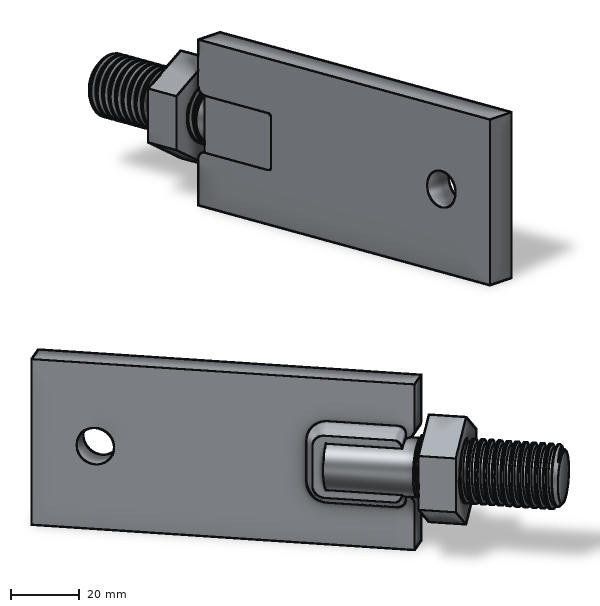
import cadquery as cq

PLATE_START = 44.5
PLATE_END = 158.8
PLATE_HEIGHT = 50.8
PLATE_THICKNESS = 9.5
HOLE_DIAMETER = 11.1
HOLE_X = 139.7
SLOT_END = 73.0
SLOT_CORNER_RADIUS = 1.3
SLOT_MOUTH_RADIUS = 2.5

SHANK_RADIUS = 8.7
SLOT_WIDTH = 2 * SHANK_RADIUS
STUD_END = 69.8
THREAD_END = 43.0
THREAD_PITCH = 2.5
THREAD_RADIUS = 9.5
ROOT_RADIUS = 8.3
RIDGE_BASE_WIDTH = 1.9
RIDGE_CREST_WIDTH = 0.6
RIDGE_OVERLAP = 0.3
TIP_RADIUS = 7.8
TIP_CLEARANCE = 1.6
THREAD_TURNS = 18
RIDGE_START = -2.2
THREAD_OVERRUN = 6.4

NUT_START = 29.0
NUT_WIDTH = 11.1
NUT_ACROSS_FLATS = 28.5

WELD_START = PLATE_START + SLOT_MOUTH_RADIUS
BEAD_OVERHANG = 3.7
BEAD_HEIGHT = 5.1
BEAD_BEND_RADIUS = 6.4
BEAD_BULGE_WIDTH = 5.9
BEAD_BULGE_HEIGHT = 2.0
BEAD_SHOULDER_WIDTH = 4.8
BEAD_SHOULDER_HEIGHT = 3.7
BEAD_TOP_WIDTH = 3.5
BEAD_TIP_RADIUS = 2.4


def x_cylinder(radius, start, end):
    """Cylinder on the X axis between two X positions."""
    return cq.Workplane("YZ", origin=(start, 0, 0)).circle(radius).extrude(end - start)


def slot_block(start):
    """Block that fills the slot through the plate, from `start` to the rounded slot end."""
    length = SLOT_END - start
    block = cq.Workplane("XY").box(length, PLATE_THICKNESS, SLOT_WIDTH, centered=(False, False, True))
    block = block.edges(">X and |Y").fillet(SLOT_CORNER_RADIUS)
    return block.translate((start, -PLATE_THICKNESS, 0))


def make_plate():
    """Plate with the slot, its rounded mouth and a through hole."""
    length = PLATE_END - PLATE_START
    plate = cq.Workplane("XY").box(length, PLATE_THICKNESS, PLATE_HEIGHT, centered=(False, False, True))
    plate = plate.translate((PLATE_START, -PLATE_THICKNESS, 0)).cut(slot_block(PLATE_START))
    mouth = cq.selectors.BoxSelector(
        (PLATE_START - SLOT_MOUTH_RADIUS, -PLATE_THICKNESS, -SLOT_WIDTH),
        (PLATE_START + SLOT_MOUTH_RADIUS, 0, SLOT_WIDTH),
    )
    plate = plate.edges("|Y").edges(mouth).fillet(SLOT_MOUTH_RADIUS)
    hole = cq.Workplane("XZ").center(HOLE_X, 0).circle(HOLE_DIAMETER / 2).extrude(PLATE_THICKNESS)
    return plate.cut(hole)


def make_thread_ridge():
    """Right-handed helical ridge on the X axis, sunk slightly into the thread root."""
    inner_radius = ROOT_RADIUS - RIDGE_OVERLAP
    inner_half = RIDGE_BASE_WIDTH / 2
    crest_half = RIDGE_CREST_WIDTH / 2
    height = THREAD_TURNS * THREAD_PITCH
    helix = cq.Wire.makeHelix(THREAD_PITCH, height, inner_radius)
    profile = cq.Workplane("XZ").polyline([
        (inner_radius, -inner_half),
        (THREAD_RADIUS, -crest_half),
        (THREAD_RADIUS, crest_half),
        (inner_radius, inner_half),
    ]).close()
    ridge = profile.sweep(cq.Workplane(obj=helix), isFrenet=True)
    return ridge.rotate((0, 0, 0), (0, 1, 0), 90).translate((RIDGE_START, 0, 0))


def make_stud():
    """Threaded stud with a tapered tip and a plain shank."""
    core = x_cylinder(ROOT_RADIUS, -THREAD_OVERRUN, THREAD_END + THREAD_OVERRUN)
    threaded = core.union(make_thread_ridge(), clean=False)
    blank_radius = THREAD_RADIUS + TIP_CLEARANCE
    tapered_blank = x_cylinder(blank_radius, 0, THREAD_END).faces("<X").chamfer(blank_radius - TIP_RADIUS)
    threaded = threaded.intersect(tapered_blank, clean=False)
    shank = x_cylinder(SHANK_RADIUS, THREAD_END, STUD_END)
    return threaded.union(shank, clean=False)


def make_nut(stud):
    """Hexagon nut with two flats facing -Y and +Y, its bore matching the stud thread."""
    hexagon = cq.Workplane("YZ", origin=(NUT_START, 0, 0)).polygon(6, NUT_ACROSS_FLATS, circumscribed=True)
    nut = hexagon.extrude(NUT_WIDTH)
    return nut.cut(stud)


def make_slot_weld():
    """Weld that fills the slot around the stud, flush with the front of the plate."""
    return slot_block(WELD_START).cut(x_cylinder(SHANK_RADIUS, 0, STUD_END))


def bead_profile(plane):
    """Bead section: flat top, a bevel, then a round flank down to the plate."""
    return (
        plane.lineTo(BEAD_BEND_RADIUS, 0)
        .threePointArc(
            (BEAD_BULGE_WIDTH, BEAD_BULGE_HEIGHT),
            (BEAD_SHOULDER_WIDTH, BEAD_SHOULDER_HEIGHT),
        )
        .lineTo(BEAD_TOP_WIDTH, BEAD_HEIGHT)
        .lineTo(0, BEAD_HEIGHT)
        .close()
    )


def make_bead_weld():
    """U-shaped weld along the sides of the stud and round its end, with rounded tips."""
    corner_z = SHANK_RADIUS + BEAD_OVERHANG - BEAD_BEND_RADIUS
    bend_x = SLOT_END + BEAD_OVERHANG - BEAD_BEND_RADIUS
    side_length = bend_x - WELD_START
    across = cq.Workplane(cq.Plane((bend_x, 0, -corner_z), (1, 0, 0), (0, 0, 1)))
    bead = bead_profile(across).extrude(2 * corner_z)
    for side in (1, -1):
        corner = (bend_x, 0, side * corner_z)
        section = cq.Workplane(cq.Plane(corner, (0, 0, side), (-side, 0, 0)))
        straight = bead_profile(section).extrude(side * side_length)
        straight = straight.faces("<X").edges("%CIRCLE").fillet(BEAD_TIP_RADIUS)
        bend = bead_profile(cq.Workplane(cq.Plane(corner, (1, 0, 0), (0, 0, 1))))
        bend = bend.revolve(360, (0, 0, 0), (0, 1, 0))
        bead = bead.union(straight).union(bend)
    return bead.cut(x_cylinder(SHANK_RADIUS, 0, STUD_END))


plate = make_plate()
stud = make_stud()
nut = make_nut(stud)
slot_weld = make_slot_weld()
bead_weld = make_bead_weld()

result = cq.Compound.makeCompound([
    plate.solids().val(),
    stud.solids().val(),
    nut.solids().val(),
    slot_weld.solids().val(),
    bead_weld.solids().val(),
])